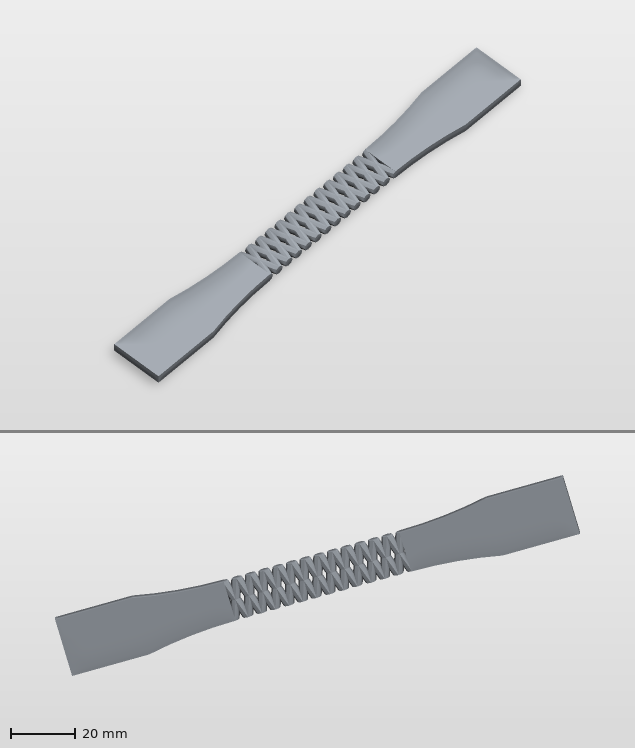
import cadquery as cq
import math

length = 165.0
grip_width = 19.0
neck_width = 13.0
thickness = 3.1

lattice_half_length = 28.5
grip_start = 57.5

shoulder_facets = 4

cell_count = 13
grid_length = 57.8
cell_width = 13.2
cell_pitch = grid_length / cell_count

strut_sides = 8
strut_length = 2 * neck_width

shoulder_rise = (grip_width - neck_width) / 2
shoulder_run = grip_start - lattice_half_length
shoulder_radius = (shoulder_run**2 + shoulder_rise**2) / (2 * shoulder_rise)
shoulder_angle = math.asin(shoulder_run / shoulder_radius)


def shoulder_point(step):
    """Corner of the faceted shoulder, counted from the neck."""
    angle = shoulder_angle * step / shoulder_facets
    x = neck_width / 2 + shoulder_radius * (1 - math.cos(angle))
    y = lattice_half_length + shoulder_radius * math.sin(angle)
    return (x, y)


def solid_end():
    """Grip and shoulder at the +Y end."""
    right_side = [shoulder_point(step) for step in range(shoulder_facets + 1)]
    right_side.append((grip_width / 2, length / 2))
    left_side = [(-x, y) for x, y in reversed(right_side)]
    outline = cq.Workplane("XY").polyline(right_side + left_side).close()
    return outline.extrude(thickness / 2, both=True)


def strut(center_y, direction):
    """Bar along one diagonal of a lattice cell, with one edge of the octagon facing straight up."""
    angle = math.atan2(direction * cell_pitch, cell_width)
    axis = cq.Vector(math.cos(angle), math.sin(angle), 0)
    start = cq.Vector(0, center_y, 0) - axis * (strut_length / 2)
    section = cq.Plane(origin=start, xDir=(0, 0, 1), normal=axis)
    return cq.Workplane(section).polygon(strut_sides, thickness).extrude(strut_length)


def trimmed_struts():
    """Crossing pairs of struts, each trimmed to the space between the solid ends."""
    lattice_space = cq.Workplane("XY").box(neck_width, 2 * lattice_half_length, thickness)
    struts = []
    for row in range(-1, cell_count + 1):
        center_y = (row - (cell_count - 1) / 2) * cell_pitch
        for direction in (-1, 1):
            struts.append(strut(center_y, direction).intersect(lattice_space))
    return struts


upper_end = solid_end()
lower_end = upper_end.mirror("XZ")
result = upper_end.union(lower_end)
for bar in trimmed_struts():
    result = result.union(bar)